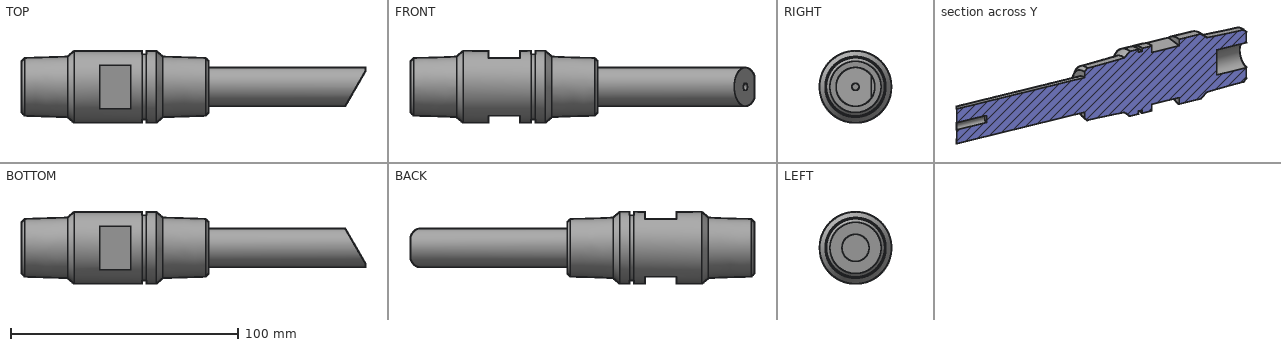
import cadquery as cq
import math

total_length = 151.5
body_length = 82.5

sleeve_end_radius = 25.6 / 2
sleeve_root_radius = 26.8 / 2
sleeve_chamfer = 1.5

collar_start = 20.3
collar_bevel_length = 2.9
collar_radius = 31.8 / 2
collar_end = body_length - collar_start

groove_start = 53.2
groove_width = 1.8
groove_radius = 29.0 / 2

flat_width = 13.8
across_flats = 25.5

bore_radius = 12.0 / 2
bore_depth = 15.1

rod_radius = 17.1 / 2
slant_angle = 30.0
tip_offset = 7.0
rod_hole_radius = 3.2 / 2
rod_hole_depth = 15.1


def cylinder_along_x(start, length, radius):
    return cq.Workplane("YZ", origin=(start, 0, 0)).circle(radius).extrude(length)


def make_body():
    end_face_radius = sleeve_end_radius - sleeve_chamfer
    profile = [
        (0, 0),
        (0, end_face_radius),
        (sleeve_chamfer, sleeve_end_radius),
        (collar_start, sleeve_root_radius),
        (collar_start + collar_bevel_length, collar_radius),
        (collar_end - collar_bevel_length, collar_radius),
        (collar_end, sleeve_root_radius),
        (body_length - sleeve_chamfer, sleeve_end_radius),
        (body_length, end_face_radius),
        (body_length, 0),
    ]
    return cq.Workplane("XY").polyline(profile).close().revolve(360, (0, 0, 0), (1, 0, 0))


def cut_groove(body):
    ring = cylinder_along_x(groove_start, groove_width, collar_radius)
    core = cylinder_along_x(groove_start, groove_width, groove_radius)
    return body.cut(ring.cut(core))


def cut_wrench_flats(body):
    flat_depth = collar_radius - across_flats / 2
    for side in (-1, 1):
        cutter = cq.Workplane("XY").box(flat_width, 2 * collar_radius, flat_depth)
        height = side * (across_flats + flat_depth) / 2
        body = body.cut(cutter.translate((body_length / 2, 0, height)))
    return body


def make_rod():
    rod = cylinder_along_x(body_length, total_length - body_length, rod_radius)
    low_y = -2 * rod_radius
    slant_run = (tip_offset - low_y) * math.tan(math.radians(slant_angle))
    wedge = (
        cq.Workplane("XY")
        .polyline([
            (total_length, tip_offset),
            (total_length, low_y),
            (total_length - slant_run, low_y),
        ])
        .close()
        .extrude(rod_radius, both=True)
    )
    rod = rod.cut(wedge)
    slant_at_axis = total_length - tip_offset * math.tan(math.radians(slant_angle))
    hole_start = slant_at_axis - rod_hole_depth
    return rod.cut(cylinder_along_x(hole_start, total_length - hole_start, rod_hole_radius))


body = cut_wrench_flats(cut_groove(make_body()))
body = body.cut(cylinder_along_x(0, bore_depth, bore_radius))
result = body.union(make_rod())